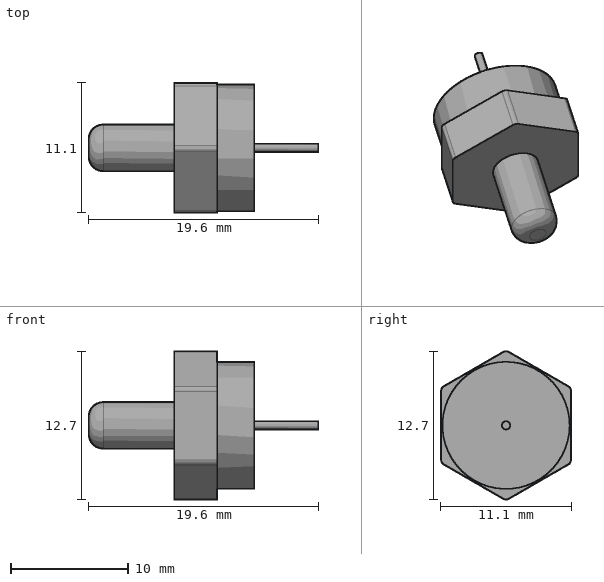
import cadquery as cq
import math

total_length = 19.61
plunger_length = 7.3
nut_thickness = 3.67
collar_length = 3.18
pin_length = total_length - plunger_length - nut_thickness - collar_length

plunger_diameter = 4.0
tip_radius = 1.25
nut_across_flats = 11.1
nut_corner_radius = 0.5
collar_diameter = 10.85
pin_diameter = 0.7

nut_back = nut_thickness
collar_back = nut_back + collar_length


def cylinder_along_x(start, length, diameter):
    return cq.Workplane("YZ", origin=(start, 0, 0)).circle(diameter / 2).extrude(length)


def make_plunger():
    """Round rod with a rounded tip that keeps a small flat end."""
    rod = cylinder_along_x(-plunger_length, plunger_length, plunger_diameter)
    return rod.faces("<X").edges().fillet(tip_radius)


def make_nut():
    """Hexagonal body with corners at top and bottom and softened edges."""
    across_corners = nut_across_flats / math.cos(math.pi / 6)
    hexagon = cq.Workplane("XY").polygon(6, across_corners).extrude(nut_thickness)
    hexagon = hexagon.edges("|Z").fillet(nut_corner_radius)
    return hexagon.rotate((0, 0, 0), (0, 1, 0), 90)


nut = make_nut()
plunger = make_plunger()
collar = cylinder_along_x(nut_back, collar_length, collar_diameter)
pin = cylinder_along_x(collar_back, pin_length, pin_diameter)

result = nut.union(plunger).union(collar).union(pin)